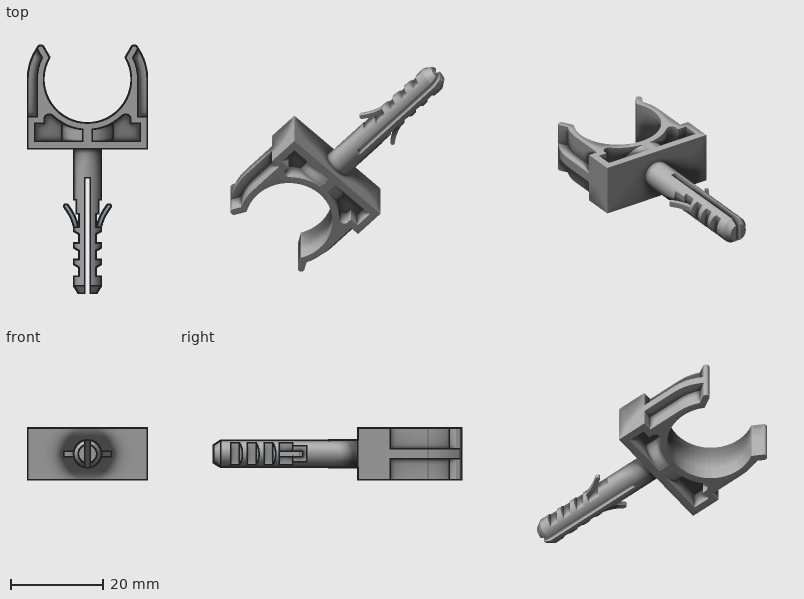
import cadquery as cq
import math


total_length = 53.8
clip_width = 26.0
clip_height = 22.5
clip_depth = 11.3
base_height = 7.0

bore_radius = 9.45
bore_y = 15.1
ring_wall = 1.45
ring_radius = bore_radius + ring_wall

lip_angle = 30.0
lip_thickness = ring_wall

web_thickness = 2.15
rib_arc_radius = 12.05
rib_top_y = clip_height - 0.3

pocket_inner_x = 1.0
pocket_outer_x = 11.4
pocket_step_x = 9.4
pocket_bottom_y = 1.65
pocket_step_y = 5.55
pocket_corner_radius = 1.15
hub_radius = clip_depth / 2

plug_length = total_length - clip_height
plug_radius = 3.0
tip_radius = 2.0
tip_length = 1.6
slot_width = 1.2
slot_start = 6.3

notch_x = 1.9
relief_start = 11.05
relief_shallow_x = 2.5
relief_step = 14.1
relief_end = 17.0
notch_count = 3
notch_pitch = 3.6
notch_length = 1.9
notch_ramp = 0.65
first_notch_start = 18.45

barb_width = slot_width
barb_tip_radius = 0.5
barb_tip_x = 4.6
barb_rise = 4.55
barb_angle = 32.0
barb_bow = 0.25


def extrude_centred(outline, depth):
    """Extrude an XY outline equally to both sides of Z = 0."""
    return outline.extrude(depth / 2, both=True)


def both_sides(solid):
    """Join a solid with its mirror image about X = 0."""
    return solid.union(solid.mirror("YZ"))


def box_between(x_min, x_max, y_min, y_max, depth):
    """Box between X and Y limits, centred on Z = 0."""
    outline = cq.Workplane("XY").moveTo(x_min, y_min).lineTo(x_max, y_min)
    outline = outline.lineTo(x_max, y_max).lineTo(x_min, y_max).close()
    return extrude_centred(outline, depth)


def ring_disc(radius, depth):
    """Disc about the bore axis."""
    return extrude_centred(cq.Workplane("XY").center(0, bore_y).circle(radius), depth)


def polar(x, y, radius, degrees):
    """Point at a radius and an angle about (x, y)."""
    angle = math.radians(degrees)
    return (x + radius * math.cos(angle), y + radius * math.sin(angle))


lip_root = polar(0, bore_y, bore_radius, lip_angle)
lip_direction = 90 - lip_angle
lip_end_radius = lip_thickness / 2
lip_mid_root = polar(*lip_root, lip_end_radius, -lip_angle)
lip_end_y = clip_height - lip_end_radius
lip_length = (lip_end_y - lip_mid_root[1]) / math.cos(math.radians(lip_angle))
lip_end = polar(*lip_mid_root, lip_length, lip_direction)


def lip():
    """Flared lip of constant thickness with a round end."""
    outline = (
        cq.Workplane("XY")
        .moveTo(*lip_root)
        .lineTo(*polar(*lip_end, lip_end_radius, 180 - lip_angle))
        .threePointArc(
            polar(*lip_end, lip_end_radius, lip_direction),
            polar(*lip_end, lip_end_radius, -lip_angle),
        )
        .lineTo(*polar(*lip_root, lip_thickness, -lip_angle))
        .close()
    )
    return extrude_centred(outline, clip_depth)


def arm(half_width, arc_radius, end_y, depth):
    """Side wall, straight up to the bore axis and then curving inwards up to end_y."""
    arc_x = half_width - arc_radius
    end_angle = math.degrees(math.asin((end_y - bore_y) / arc_radius))
    outline = (
        cq.Workplane("XY")
        .lineTo(half_width, 0)
        .lineTo(half_width, bore_y)
        .threePointArc(
            polar(arc_x, bore_y, arc_radius, end_angle / 2),
            polar(arc_x, bore_y, arc_radius, end_angle),
        )
        .lineTo(*lip_root)
        .lineTo(0, bore_y)
        .close()
    )
    return extrude_centred(outline, depth)


def pocket():
    """Stepped pocket under the bore, with a round corner running into the ring."""
    corner_x = pocket_step_x - pocket_corner_radius
    corner_reach = ring_radius + pocket_corner_radius
    corner_y = bore_y - math.sqrt(corner_reach**2 - corner_x**2)
    top_y = corner_y + pocket_corner_radius
    to_bore = math.degrees(math.atan2(bore_y - corner_y, -corner_x))
    ring_point = polar(corner_x, corner_y, pocket_corner_radius, to_bore)
    inner_y = bore_y - math.sqrt(ring_radius**2 - pocket_inner_x**2)
    inner_angle = math.degrees(math.atan2(inner_y - bore_y, pocket_inner_x))
    ring_middle_angle = (inner_angle + to_bore - 180) / 2
    outline = (
        cq.Workplane("XY")
        .moveTo(pocket_inner_x, pocket_bottom_y)
        .lineTo(pocket_outer_x, pocket_bottom_y)
        .lineTo(pocket_outer_x, pocket_step_y)
        .lineTo(pocket_step_x, pocket_step_y)
        .lineTo(pocket_step_x, corner_y)
        .threePointArc((corner_x, top_y), ring_point)
        .threePointArc(
            polar(0, bore_y, ring_radius, ring_middle_angle),
            (pocket_inner_x, inner_y),
        )
        .close()
    )
    web = box_between(0, clip_width / 2, 0, clip_height, web_thickness)
    hub = cq.Workplane("XZ").circle(hub_radius).extrude(-clip_height)
    return extrude_centred(outline, clip_depth).cut(web).cut(hub)


def clip():
    half_width = clip_width / 2
    half = box_between(0, half_width, 0, base_height, clip_depth)
    arm_top_y = polar(0, bore_y, ring_radius, lip_angle)[1]
    half = half.union(arm(ring_radius, ring_radius, arm_top_y, clip_depth))
    half = half.union(arm(half_width, rib_arc_radius, rib_top_y, web_thickness))
    half = half.cut(ring_disc(bore_radius, clip_depth))
    half = half.union(lip()).cut(pocket())
    return both_sides(half)


def barb_relief():
    """Two-step flat behind the barb."""
    shallow = box_between(relief_shallow_x, plug_radius, -relief_step, -relief_start, 2 * plug_radius)
    deep = box_between(notch_x, plug_radius, -relief_end, -relief_step, 2 * plug_radius)
    return shallow.union(deep)


def notch(start):
    """Flat-bottomed notch with a ramp on the side nearest the clip."""
    outline = (
        cq.Workplane("XY")
        .moveTo(notch_x, -start)
        .lineTo(plug_radius, -start + notch_ramp)
        .lineTo(plug_radius, -start - notch_length)
        .lineTo(notch_x, -start - notch_length)
        .close()
    )
    return extrude_centred(outline, 2 * plug_radius)


def bowed_point(start, end):
    """Middle of a chord, moved sideways by the barb's bow."""
    middle_x = (start[0] + end[0]) / 2
    middle_y = (start[1] + end[1]) / 2
    chord_angle = math.degrees(math.atan2(end[1] - start[1], end[0] - start[0]))
    return polar(middle_x, middle_y, barb_bow, chord_angle + 90)


def barb():
    """Thin curved finger with a round end, leaning away from the plug."""
    tip = (barb_tip_x, barb_rise - relief_end)
    inner_root = (notch_x, -relief_end)
    outer_root = (math.sqrt(plug_radius**2 - (barb_width / 2) ** 2), -relief_end)
    inner_end = polar(*tip, barb_tip_radius, 180 - barb_angle)
    outer_end = polar(*tip, barb_tip_radius, -barb_angle)
    outline = (
        cq.Workplane("XY")
        .moveTo(*inner_root)
        .threePointArc(bowed_point(inner_root, inner_end), inner_end)
        .threePointArc(polar(*tip, barb_tip_radius, 90 - barb_angle), outer_end)
        .threePointArc(bowed_point(outer_root, outer_end), outer_root)
        .close()
    )
    return extrude_centred(outline, barb_width)


def plug():
    profile = (
        cq.Workplane("XY")
        .lineTo(plug_radius, 0)
        .lineTo(plug_radius, tip_length - plug_length)
        .lineTo(tip_radius, -plug_length)
        .lineTo(0, -plug_length)
        .close()
    )
    shaft = profile.revolve(360, (0, 0), (0, 1))
    slot = box_between(-slot_width / 2, slot_width / 2, -plug_length, -slot_start, 2 * plug_radius)
    shaft = shaft.cut(slot).cut(both_sides(barb_relief()))
    for index in range(notch_count):
        start = first_notch_start + index * notch_pitch
        shaft = shaft.cut(notch(start)).cut(notch(start).mirror("YZ"))
    return shaft.union(barb()).union(barb().mirror("YZ"))


result = clip().union(plug())